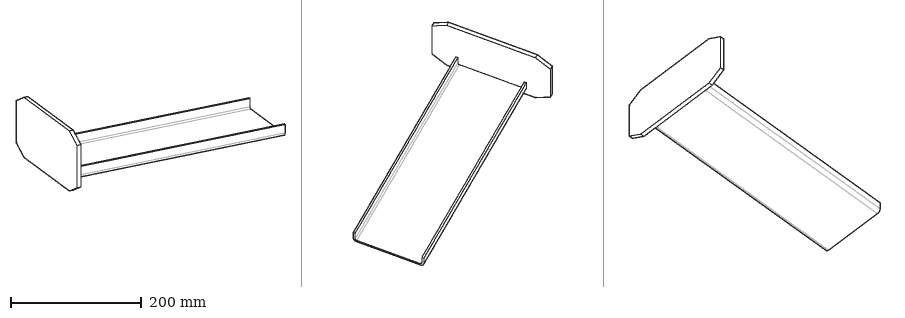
import cadquery as cq

plate_width = 200.0
plate_height = 100.0
plate_thickness = 7.0
corner_width = 25.0
corner_height = 15.0

overall_length = 381.5
channel_length = overall_length - plate_thickness
channel_width = 119.0
channel_height = 20.0
sheet_thickness = 3.5
inner_bend_radius = 2.5
outer_bend_radius = inner_bend_radius + sheet_thickness
channel_rise = 10.0
channel_bottom = channel_rise - plate_height / 2


def make_end_plate():
    """Plate with its outer face on Y = 0, centred on X and Z."""
    half_width = plate_width / 2
    half_height = plate_height / 2
    flat_x = half_width - corner_width
    flat_z = half_height - corner_height
    outline = [
        (-flat_x, -half_height),
        (flat_x, -half_height),
        (half_width, -flat_z),
        (half_width, flat_z),
        (flat_x, half_height),
        (-flat_x, half_height),
        (-half_width, flat_z),
        (-half_width, -flat_z),
    ]
    return cq.Workplane("XZ").polyline(outline).close().extrude(-plate_thickness)


def make_rounded_bar(width, bottom, bend_radius):
    """Bar behind the plate, up to the channel rim, with rounded lower edges."""
    height = channel_bottom + channel_height - bottom
    return (
        cq.Workplane("XY")
        .box(width, channel_length, height, centered=(True, False, False))
        .translate((0, plate_thickness, bottom))
        .edges("|Y and <Z")
        .fillet(bend_radius)
    )


def make_channel():
    """U-shaped channel with concentric inner and outer bends."""
    outside = make_rounded_bar(channel_width, channel_bottom, outer_bend_radius)
    inside_width = channel_width - 2 * sheet_thickness
    inside = make_rounded_bar(inside_width, channel_bottom + sheet_thickness, inner_bend_radius)
    return outside.cut(inside)


end_plate = make_end_plate()
channel = make_channel()

result = cq.Compound.makeCompound([end_plate.val(), channel.val()])